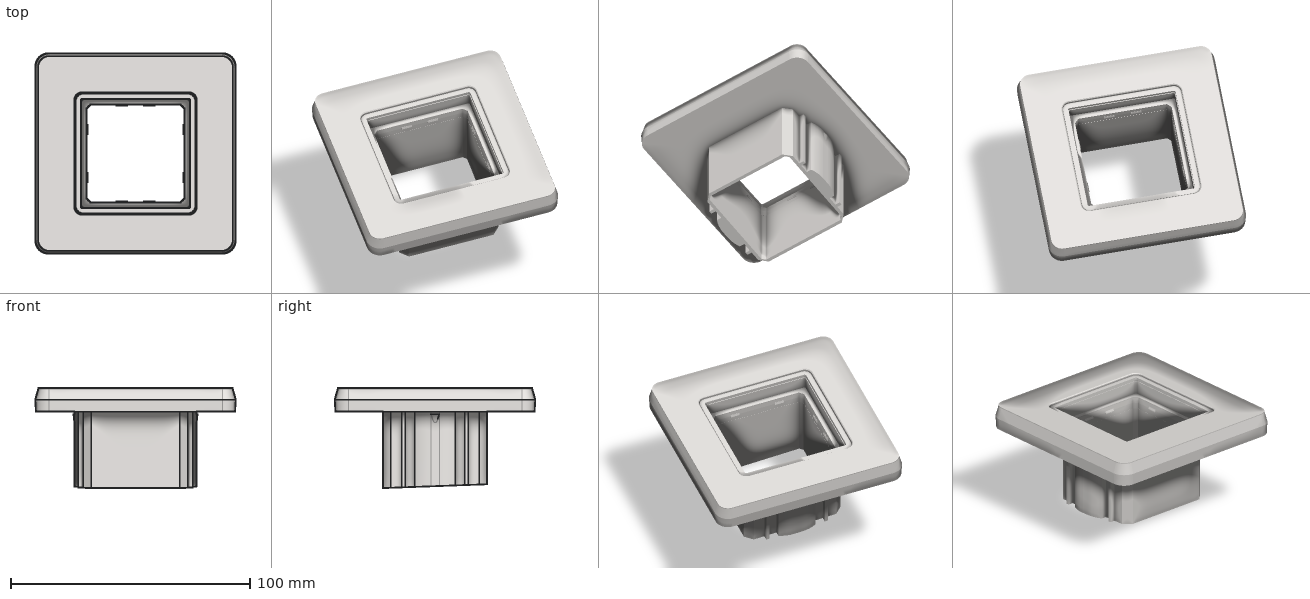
import cadquery as cq
import math

PLATE_SIZE = 84.0
PLATE_CORNER_RADIUS = 5.8
PLATE_THICKNESS = 10.0
PLATE_WAIST_DEPTH = 5.0
PLATE_TOP_INSET = 1.3
PLATE_TOP_LAND = 0.4
PLATE_BOTTOM_INSET = 0.3

WINDOW_SIZE = 50.7
WINDOW_CORNER_RADIUS = 3.3
WINDOW_EDGE_CHAMFER = 0.35
FRAME_SIZE = 50.0
FRAME_DEPTH = 0.9
GAP_DEPTH = 1.5

RIM_OPENING = 45.7
RIM_OPENING_DEPTH = 2.4
POCKET_OPENING = 45.2
POCKET_CORNER_RADIUS = 0.7
LEDGE_DEPTH = 8.0
THROAT_TOP_OPENING = 41.1
THROAT_TOP_LAND = 0.4
THROAT_OPENING = 40.8
THROAT_CORNER_CHAMFER = 1.7
THROAT_TAPER_DEPTH = 10.5
THROAT_DEPTH = 13.2
BORE_OPENING = 40.7
BORE_CORNER_CHAMFER = 1.4

TOTAL_HEIGHT = 42.0
BODY_TOP_DEPTH = 6.5
BODY_SIZE = 43.6
BODY_CORNER_CHAMFER = 3.2
BOTTOM_RISE = 1.6

RIB_INNER_Y = 12.5
RIB_OUTER_Y = 13.9
RIB_REACH = 24.0
BOSS_HALF_WIDTH = 8.4
BOSS_FLAT_HALF_WIDTH = 1.85
BOSS_REACH = 25.6

CATCH_TOP_DEPTH = 11.0
CATCH_HEIGHT = 3.5
CATCH_HALF_WIDTH = 1.75
CATCH_PROTRUSION = 0.4

SNAP_TOP_DEPTH = 9.9
SNAP_PEAK_DEPTH = 10.8
SNAP_BOTTOM_DEPTH = 11.1
SNAP_PROTRUSION = 0.35
SNAP_ROOT = 0.5
SNAPS_ON_X_WALLS = (10.0, 4.0)
SNAPS_ON_Y_WALLS = (5.7, 4.5)


def rounded_square(size, radius):
    return cq.Sketch().rect(size, size).vertices().fillet(radius)


def chamfered_square(size, chamfer):
    return cq.Sketch().rect(size, size).vertices().chamfer(chamfer)


def prism(outline, top_depth, bottom_depth, bottom_inset=0.0):
    """Block hanging between two depths below the plate's top, narrowing downwards by the inset."""
    height = bottom_depth - top_depth
    taper = math.degrees(math.atan2(bottom_inset, height))
    return cq.Workplane("XY", origin=(0, 0, -top_depth)).placeSketch(outline).extrude(-height, taper=taper)


def make_plate():
    waist_outline = rounded_square(PLATE_SIZE, PLATE_CORNER_RADIUS)
    upper_height = PLATE_WAIST_DEPTH - PLATE_TOP_LAND
    upper_taper = math.degrees(math.atan2(PLATE_TOP_INSET, upper_height))
    waist = cq.Workplane("XY", origin=(0, 0, -PLATE_WAIST_DEPTH))
    upper = waist.placeSketch(waist_outline).extrude(upper_height, taper=upper_taper)
    lower = prism(waist_outline, PLATE_WAIST_DEPTH, PLATE_THICKNESS, PLATE_BOTTOM_INSET)
    top_outline = rounded_square(PLATE_SIZE - 2 * PLATE_TOP_INSET, PLATE_CORNER_RADIUS - PLATE_TOP_INSET)
    land = prism(top_outline, 0, PLATE_TOP_LAND)
    return upper.union(lower).union(land)


def make_window():
    """Material removed above and around the inner frame, with a bevelled upper edge."""
    window = prism(rounded_square(WINDOW_SIZE, WINDOW_CORNER_RADIUS), 0, GAP_DEPTH)
    bevel_outline = rounded_square(
        WINDOW_SIZE + 2 * WINDOW_EDGE_CHAMFER, WINDOW_CORNER_RADIUS + WINDOW_EDGE_CHAMFER
    )
    bevel = prism(bevel_outline, 0, WINDOW_EDGE_CHAMFER, WINDOW_EDGE_CHAMFER)
    frame_radius = WINDOW_CORNER_RADIUS - (WINDOW_SIZE - FRAME_SIZE) / 2
    frame = prism(rounded_square(FRAME_SIZE, frame_radius), FRAME_DEPTH, GAP_DEPTH)
    return window.union(bevel).cut(frame)


def make_side_boss():
    """Boss on the +X side: flat crest with a tangent arc down to each flank."""
    run = BOSS_HALF_WIDTH - BOSS_FLAT_HALF_WIDTH
    drop = BOSS_REACH - RIB_REACH
    radius = (run**2 + drop**2) / (2 * drop)
    half_angle = math.asin(run / radius) / 2
    mid_x = BOSS_REACH - radius * (1 - math.cos(half_angle))
    mid_y = BOSS_FLAT_HALF_WIDTH + radius * math.sin(half_angle)
    return (
        cq.Workplane("XY", origin=(0, 0, -TOTAL_HEIGHT))
        .moveTo(0, -BOSS_HALF_WIDTH)
        .lineTo(RIB_REACH, -BOSS_HALF_WIDTH)
        .threePointArc((mid_x, -mid_y), (BOSS_REACH, -BOSS_FLAT_HALF_WIDTH))
        .lineTo(BOSS_REACH, BOSS_FLAT_HALF_WIDTH)
        .threePointArc((mid_x, mid_y), (RIB_REACH, BOSS_HALF_WIDTH))
        .lineTo(0, BOSS_HALF_WIDTH)
        .close()
        .extrude(TOTAL_HEIGHT - BODY_TOP_DEPTH)
    )


def make_body():
    height = TOTAL_HEIGHT - BODY_TOP_DEPTH
    base = cq.Workplane("XY", origin=(0, 0, -TOTAL_HEIGHT))
    body = base.rect(BODY_SIZE, BODY_SIZE).extrude(height).edges("|Z").chamfer(BODY_CORNER_CHAMFER)
    rib_y = (RIB_INNER_Y + RIB_OUTER_Y) / 2
    rib_width = RIB_OUTER_Y - RIB_INNER_Y
    ribs = base.pushPoints([(0, -rib_y), (0, rib_y)]).rect(2 * RIB_REACH, rib_width).extrude(height)
    boss = make_side_boss()
    body = body.union(ribs).union(boss).union(boss.mirror("YZ"))
    return body.cut(make_bottom_slope())


def make_bottom_slope():
    """Wedge removed from the bottom, rising from the -Y face to the +Y face."""
    half = BODY_SIZE / 2
    return (
        cq.Workplane("YZ")
        .polyline([(-half, -TOTAL_HEIGHT), (half, -TOTAL_HEIGHT), (half, BOTTOM_RISE - TOTAL_HEIGHT)])
        .close()
        .extrude(PLATE_SIZE / 2, both=True)
    )


def make_catch():
    """Downward-narrowing cone, of which only a sliver stands proud of the +X boss."""
    top_radius = (CATCH_HALF_WIDTH**2 + CATCH_PROTRUSION**2) / (2 * CATCH_PROTRUSION)
    axis_x = BOSS_REACH + CATCH_PROTRUSION - top_radius
    tip_radius = BOSS_REACH - axis_x
    tip_z = -CATCH_TOP_DEPTH - CATCH_HEIGHT
    cone = cq.Solid.makeCone(tip_radius, top_radius, CATCH_HEIGHT, pnt=cq.Vector(axis_x, 0, tip_z))
    sliver_zone = cq.Workplane("XY", origin=(BOSS_REACH, 0, tip_z)).box(
        2 * CATCH_PROTRUSION, 2 * CATCH_HALF_WIDTH, CATCH_HEIGHT, centered=(True, True, False)
    )
    return sliver_zone.intersect(cq.Workplane(cone))


def make_opening():
    """Stepped square passage: frame rim, pocket, slightly tapered throat, then the long bore."""
    rim = prism(rounded_square(RIM_OPENING, POCKET_CORNER_RADIUS), 0, RIM_OPENING_DEPTH)
    pocket = prism(rounded_square(POCKET_OPENING, POCKET_CORNER_RADIUS), RIM_OPENING_DEPTH, LEDGE_DEPTH)
    throat_top = chamfered_square(THROAT_TOP_OPENING, THROAT_CORNER_CHAMFER)
    taper_start = LEDGE_DEPTH + THROAT_TOP_LAND
    inset = (THROAT_TOP_OPENING - THROAT_OPENING) / 2
    land = prism(throat_top, LEDGE_DEPTH, taper_start)
    lead_in = prism(throat_top, taper_start, THROAT_TAPER_DEPTH, inset)
    throat_chamfer = THROAT_CORNER_CHAMFER - inset * (2 - math.sqrt(2))
    throat = prism(chamfered_square(THROAT_OPENING, throat_chamfer), THROAT_TAPER_DEPTH, THROAT_DEPTH)
    bore = prism(chamfered_square(BORE_OPENING, BORE_CORNER_CHAMFER), THROAT_DEPTH, TOTAL_HEIGHT)
    return rim.union(pocket).union(land).union(lead_in).union(throat).union(bore)


def make_snap(length):
    """Wedge on the +X throat wall, pointing inwards."""
    wall = THROAT_OPENING / 2
    profile = [
        (wall + SNAP_ROOT, -SNAP_TOP_DEPTH),
        (wall, -SNAP_TOP_DEPTH),
        (wall - SNAP_PROTRUSION, -SNAP_PEAK_DEPTH),
        (wall - SNAP_PROTRUSION, -SNAP_BOTTOM_DEPTH),
        (wall + SNAP_ROOT, -SNAP_BOTTOM_DEPTH),
    ]
    return cq.Workplane("XZ").polyline(profile).close().extrude(length / 2, both=True)


def add_snaps(part):
    for quarter_turn in range(4):
        offset, length = SNAPS_ON_Y_WALLS if quarter_turn % 2 else SNAPS_ON_X_WALLS
        for side in (-1, 1):
            snap = make_snap(length).translate((0, side * offset, 0))
            part = part.union(snap.rotate((0, 0, 0), (0, 0, 1), 90 * quarter_turn))
    return part


catch = make_catch()
housing = make_plate().cut(make_window()).union(make_body()).union(catch).union(catch.mirror("YZ"))
result = add_snaps(housing.cut(make_opening()))